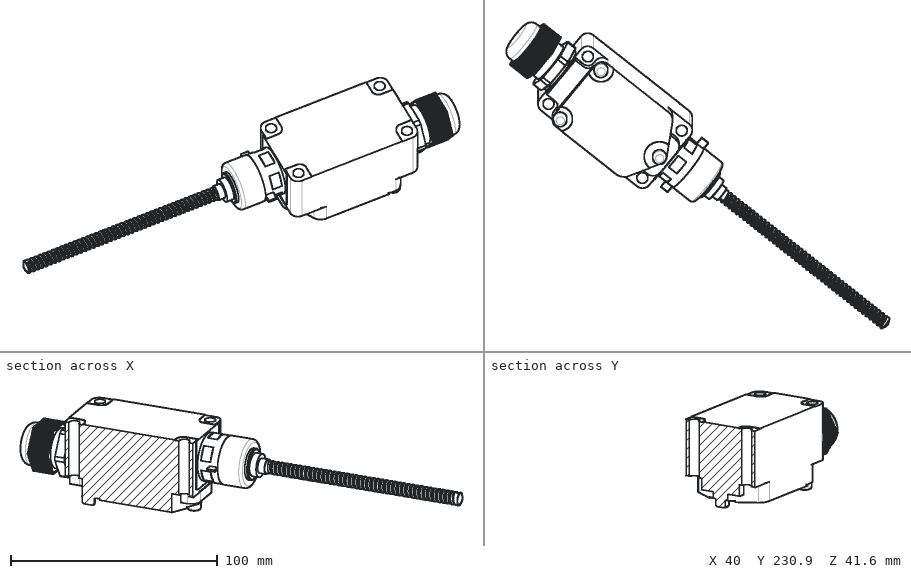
import cadquery as cq
import math


HOUSING_WIDTH = 40.0
HOUSING_LENGTH = 68.1
HOUSING_TOP = 13.0
HOUSING_LEDGE = -15.7
HOUSING_BOTTOM = -25.5
HOUSING_CORNER_RADIUS = 4.2
HALF_WIDTH = HOUSING_WIDTH / 2

PLATE_SIZE = 2 * HOUSING_TOP
PLATE_THICKNESS = 0.7
PLATE_CORNER_RADIUS = 1.5

LUG_SIZE = 9.7
LUG_INNER_RADIUS = 3.5
LUG_RECESS = 0.2
MOUNT_HOLE_DIAMETER = 5.3
MOUNT_HOLE_INSET = 4.9

NOSE_Y = 2.3
NOSE_RADIUS = 3.5
NOSE_SLOPE = math.radians(30)
BASE_SHOULDER_RADIUS = 6.0
BASE_BACK_Y = 59.1
BASE_BACK_RADIUS = 4.2

TAB_WIDTH = 22.0
TAB_INSET = 0.5
TAB_BOTTOM = -21.5
FRONT_TAB_RADIUS = 4.9
BACK_TAB_FILLET = 3.5

SCREW_HEAD_DIAMETER = 6.7
SCREW_HEAD_BOTTOM = -28.6
SCREW_HEAD_ROUND = 1.5
FRONT_SEAT_DIAMETER = 14.8
BACK_SEAT_DIAMETER = 12.0
SCREW_SEAT_DEPTH = 0.7
FRONT_SCREW = (0, 6.5)
BACK_SCREW_X = 15.7
BACK_SCREW_Y = 55.7
BACK_SCREWS = [(-BACK_SCREW_X, BACK_SCREW_Y), (BACK_SCREW_X, BACK_SCREW_Y)]

HEAD_RADIUS = 12.0
HEAD_CAP_RADIUS = 12.13
HEAD_CAP_BACK_Y = -11.3
HEAD_CAP_FRONT_Y = -23.8
HEAD_CAP_ROUND = 1.5
HEAD_COLLAR_RADIUS = 7.9
HEAD_COLLAR_FRONT_Y = -25.5
HEAD_COLLAR_CHAMFER = 0.5
HEAD_SLEEVE_RADIUS = 5.8
HEAD_SLEEVE_FRONT_Y = -28.9
HEAD_TIP_RADIUS = 3.7
HEAD_TIP_FRONT_Y = -32.3

WRENCH_FLAT_COUNT = 6
WRENCH_FLAT_WIDTH = 7.5
WRENCH_FLAT_BACK_Y = -2.3
WRENCH_FLAT_FRONT_Y = -7.5
STUD_SPAN = 31.5
STUD_LENGTH = 4.2
STUD_HEIGHT = 1.2

WAND_END_Y = -135.5
SPRING_RADIUS = 3.2
SPRING_PITCH = 2.3
SPRING_GROOVE_DEPTH = 0.7
SPRING_GROOVE_WIDTH = 1.6
SPRING_GROOVE_CLEARANCE = 0.12
SPRING_END_LAND = 1.0
WAND_DOME_RADIUS = 2.8
WAND_DOME_LENGTH = 1.2

GLAND_Z = -8.5
GLAND_FLANGE_RADIUS = 11.8
GLAND_NUT_START = 1.5
GLAND_NUT_END = 6.2
GLAND_NUT_FLATS = 24.3
GLAND_NUT_CORNER_RADIUS = 13.5
GLAND_NECK_RADIUS = 10.0
GLAND_GRIP_START = 10.2
GLAND_GRIP_END = 21.0
GLAND_GRIP_FLATS = 22.6
GLAND_GRIP_TEETH = 16
GLAND_GRIP_TOOTH_DEPTH = 0.5
GLAND_CAP_RADIUS = 10.6
GLAND_CAP_ROUND = 4.0
GLAND_LENGTH = 27.3
HEX_SIDES = 6


def upright_block(x_range, y_range, z_range):
    """Box between two limits along each axis."""
    (x0, x1), (y0, y1), (z0, z1) = x_range, y_range, z_range
    return cq.Workplane("XY").box(x1 - x0, y1 - y0, z1 - z0, centered=False).translate((x0, y0, z0))


def make_upper_housing():
    """Main block with rounded corners and the square plate that carries the head."""
    block = upright_block(
        (-HALF_WIDTH, HALF_WIDTH), (0, HOUSING_LENGTH), (HOUSING_LEDGE, HOUSING_TOP)
    ).edges("|Z").fillet(HOUSING_CORNER_RADIUS)
    plate = upright_block(
        (-PLATE_SIZE / 2, PLATE_SIZE / 2),
        (-PLATE_THICKNESS, HOUSING_CORNER_RADIUS),
        (-PLATE_SIZE / 2, HOUSING_TOP),
    ).edges("|Y and <Z").fillet(PLATE_CORNER_RADIUS)
    return block.union(plate)


def make_base():
    """Lower part of the housing, with two tabs that run under the front and back walls."""
    shoulder_y = NOSE_Y + HALF_WIDTH * math.tan(NOSE_SLOPE)
    outline = [
        (0, NOSE_Y),
        (HALF_WIDTH, shoulder_y),
        (HALF_WIDTH, BASE_BACK_Y),
        (-HALF_WIDTH, BASE_BACK_Y),
        (-HALF_WIDTH, shoulder_y),
    ]
    base = cq.Workplane("XY").workplane(offset=HOUSING_BOTTOM).polyline(outline).close()
    base = base.extrude(HOUSING_LEDGE - HOUSING_BOTTOM)
    base = base.edges("|Z and <Y").fillet(NOSE_RADIUS)
    base = base.edges("|Z and >Y").fillet(BASE_BACK_RADIUS)
    shoulders = cq.selectors.BoxSelector(
        (-HOUSING_WIDTH, NOSE_Y + NOSE_RADIUS, HOUSING_BOTTOM),
        (HOUSING_WIDTH, BASE_BACK_Y / 2, HOUSING_LEDGE),
    )
    base = base.edges("|Z").edges(shoulders).fillet(BASE_SHOULDER_RADIUS)

    tab_x = (-TAB_WIDTH / 2, TAB_WIDTH / 2)
    tab_z = (TAB_BOTTOM, HOUSING_LEDGE)
    front_tab = upright_block(tab_x, (TAB_INSET, BASE_BACK_Y / 2), tab_z)
    front_tab = front_tab.edges("|Z and <Y").fillet(FRONT_TAB_RADIUS)
    back_tab = upright_block(tab_x, (BASE_BACK_Y, HOUSING_LENGTH - TAB_INSET), tab_z)
    base = base.union(front_tab).union(back_tab)
    for side in (-1, 1):
        base = base.union(make_tab_fillet(side))
    return base


def make_tab_fillet(side):
    """Concave corner between one side of the back tab and the back face of the base."""
    inner_x = side * TAB_WIDTH / 2
    outer_x = inner_x + side * BACK_TAB_FILLET
    arc_inset = BACK_TAB_FILLET * (1 - math.sqrt(0.5))
    return (
        cq.Workplane("XY").workplane(offset=TAB_BOTTOM)
        .moveTo(inner_x, BASE_BACK_Y)
        .lineTo(outer_x, BASE_BACK_Y)
        .threePointArc(
            (inner_x + side * arc_inset, BASE_BACK_Y + arc_inset),
            (inner_x, BASE_BACK_Y + BACK_TAB_FILLET),
        )
        .close()
        .extrude(HOUSING_LEDGE - TAB_BOTTOM)
    )


def make_screw_heads():
    """Three cover screw heads, formed with the housing."""
    heads = (
        cq.Workplane("XY").workplane(offset=SCREW_HEAD_BOTTOM)
        .pushPoints([FRONT_SCREW, *BACK_SCREWS]).circle(SCREW_HEAD_DIAMETER / 2)
        .extrude(HOUSING_BOTTOM + SCREW_SEAT_DEPTH - SCREW_HEAD_BOTTOM)
    )
    return heads.faces("<Z").edges().fillet(SCREW_HEAD_ROUND)


def make_screw_seats(positions, diameter):
    """Shallow round recesses in the underside of the base."""
    underside = cq.Workplane("XY").workplane(offset=HOUSING_BOTTOM)
    return underside.pushPoints(positions).circle(diameter / 2).extrude(SCREW_SEAT_DEPTH)


def make_housing():
    """Complete housing with screw heads, corner lugs and mounting holes."""
    housing = make_upper_housing().union(make_base())
    housing = housing.cut(make_screw_seats([FRONT_SCREW], FRONT_SEAT_DIAMETER))
    housing = housing.cut(make_screw_seats(BACK_SCREWS, BACK_SEAT_DIAMETER))
    housing = housing.union(make_screw_heads())

    lug_centre_x = HALF_WIDTH - LUG_SIZE / 2
    lug_centre_ys = (LUG_SIZE / 2, HOUSING_LENGTH - LUG_SIZE / 2)
    hole_x = HALF_WIDTH - MOUNT_HOLE_INSET
    hole_ys = (MOUNT_HOLE_INSET, HOUSING_LENGTH - MOUNT_HOLE_INSET)
    for side in (-1, 1):
        for lug_y, hole_y, inner in zip(lug_centre_ys, hole_ys, (">Y", "<Y")):
            recess = (
                cq.Workplane("XY").workplane(offset=HOUSING_TOP - LUG_RECESS)
                .center(side * lug_centre_x, lug_y).rect(LUG_SIZE, LUG_SIZE).extrude(LUG_RECESS)
                .edges("|Z").edges("<X" if side > 0 else ">X").edges(inner).fillet(LUG_INNER_RADIUS)
            )
            hole = (
                cq.Workplane("XY").workplane(offset=HOUSING_LEDGE)
                .center(side * hole_x, hole_y).circle(MOUNT_HOLE_DIAMETER / 2)
                .extrude(HOUSING_TOP - HOUSING_LEDGE)
            )
            housing = housing.cut(recess).cut(hole)
    return housing


def make_head():
    """Round actuator head with stepped front, six wrench flats and two side studs."""
    back_y = -PLATE_THICKNESS
    round_inset = HEAD_CAP_ROUND * (1 - math.sqrt(0.5))
    head = (
        cq.Workplane("YZ")
        .moveTo(back_y, 0)
        .lineTo(back_y, HEAD_RADIUS)
        .lineTo(HEAD_CAP_BACK_Y, HEAD_RADIUS)
        .lineTo(HEAD_CAP_BACK_Y, HEAD_CAP_RADIUS)
        .lineTo(HEAD_CAP_FRONT_Y + HEAD_CAP_ROUND, HEAD_CAP_RADIUS)
        .threePointArc(
            (HEAD_CAP_FRONT_Y + round_inset, HEAD_CAP_RADIUS - round_inset),
            (HEAD_CAP_FRONT_Y, HEAD_CAP_RADIUS - HEAD_CAP_ROUND),
        )
        .lineTo(HEAD_CAP_FRONT_Y, HEAD_COLLAR_RADIUS)
        .lineTo(HEAD_COLLAR_FRONT_Y + HEAD_COLLAR_CHAMFER, HEAD_COLLAR_RADIUS)
        .lineTo(HEAD_COLLAR_FRONT_Y, HEAD_COLLAR_RADIUS - HEAD_COLLAR_CHAMFER)
        .lineTo(HEAD_COLLAR_FRONT_Y, HEAD_SLEEVE_RADIUS)
        .lineTo(HEAD_SLEEVE_FRONT_Y, HEAD_SLEEVE_RADIUS)
        .lineTo(HEAD_SLEEVE_FRONT_Y, HEAD_TIP_RADIUS)
        .lineTo(HEAD_TIP_FRONT_Y, HEAD_TIP_RADIUS)
        .lineTo(HEAD_TIP_FRONT_Y, 0)
        .close()
        .revolve(360, (0, 0, 0), (1, 0, 0))
    )
    flat_distance = math.sqrt(HEAD_RADIUS ** 2 - (WRENCH_FLAT_WIDTH / 2) ** 2)
    flat_cutter = upright_block(
        (-WRENCH_FLAT_WIDTH, WRENCH_FLAT_WIDTH),
        (WRENCH_FLAT_FRONT_Y, WRENCH_FLAT_BACK_Y),
        (flat_distance, HEAD_CAP_RADIUS),
    )
    for index in range(WRENCH_FLAT_COUNT):
        angle = index * 360 / WRENCH_FLAT_COUNT
        head = head.cut(flat_cutter.rotate((0, 0, 0), (0, 1, 0), angle))

    studs = cq.Workplane("XY").box(STUD_SPAN, STUD_LENGTH, STUD_HEIGHT)
    return head.union(studs.translate((0, HEAD_CAP_BACK_Y + STUD_LENGTH / 2, 0)))


def make_wand():
    """Spring wand: a domed rod whose surface is wound with one helical V groove."""
    shoulder_y = WAND_END_Y + WAND_DOME_LENGTH
    dome_sphere_radius = (WAND_DOME_RADIUS ** 2 + WAND_DOME_LENGTH ** 2) / (2 * WAND_DOME_LENGTH)
    dome_mid_radius = WAND_DOME_RADIUS / 2
    dome_mid_depth = dome_sphere_radius - math.sqrt(dome_sphere_radius ** 2 - dome_mid_radius ** 2)
    rod = (
        cq.Workplane("YZ")
        .moveTo(HEAD_TIP_FRONT_Y, 0)
        .lineTo(HEAD_TIP_FRONT_Y, SPRING_RADIUS)
        .lineTo(shoulder_y, SPRING_RADIUS)
        .lineTo(shoulder_y, WAND_DOME_RADIUS)
        .threePointArc((WAND_END_Y + dome_mid_depth, dome_mid_radius), (WAND_END_Y, 0))
        .close()
        .revolve(360, (0, 0, 0), (1, 0, 0))
    )

    groove_start_y = shoulder_y + SPRING_END_LAND
    groove_length = HEAD_TIP_FRONT_Y - SPRING_END_LAND - groove_start_y
    helix = cq.Wire.makeHelix(
        SPRING_PITCH, groove_length, SPRING_RADIUS, cq.Vector(0, groove_start_y, 0), cq.Vector(0, 1, 0)
    )
    start = helix.startPoint()
    outward = cq.Vector(start.x, 0, start.z).normalized()
    section_plane = cq.Plane(
        origin=start.toTuple(), xDir=outward.toTuple(), normal=helix.tangentAt(0).toTuple()
    )
    overshoot = 1 + SPRING_GROOVE_CLEARANCE / SPRING_GROOVE_DEPTH
    half_mouth = overshoot * SPRING_GROOVE_WIDTH / 2
    groove = (
        cq.Workplane(section_plane)
        .moveTo(-SPRING_GROOVE_DEPTH, 0)
        .lineTo(SPRING_GROOVE_CLEARANCE, half_mouth)
        .lineTo(SPRING_GROOVE_CLEARANCE, -half_mouth)
        .close()
        .sweep(cq.Workplane(helix), isFrenet=True)
    )
    return rod.cut(groove)


def hex_corners(across_flats):
    """Corners of a hexagon with flats at top and bottom; the first corner is repeated at the end."""
    radius = across_flats / math.sqrt(3)
    turns = [2 * math.pi * index / HEX_SIDES for index in range(HEX_SIDES + 1)]
    return [(radius * math.cos(turn), radius * math.sin(turn)) for turn in turns]


def serrated_hex(across_flats):
    """Hexagon outline with V-shaped serrations cut along every side."""
    valley_scale = 1 - 2 * GLAND_GRIP_TOOTH_DEPTH / across_flats
    corners = hex_corners(across_flats)
    points = []
    for (x0, z0), (x1, z1) in zip(corners, corners[1:]):
        for step in range(2 * GLAND_GRIP_TEETH):
            along = step / (2 * GLAND_GRIP_TEETH)
            scale = valley_scale if step % 2 else 1
            points.append((scale * (x0 + along * (x1 - x0)), scale * (z0 + along * (z1 - z0))))
    return points


def gland_section(distance):
    """Plane across the gland axis at a distance behind the housing."""
    origin = (0, HOUSING_LENGTH + distance, GLAND_Z)
    return cq.Workplane(cq.Plane(origin=origin, xDir=(1, 0, 0), normal=(0, 1, 0)))


def make_gland():
    """Cable gland: flange, hex nut, neck, serrated hex grip and rounded end cap."""
    flange = gland_section(0).circle(GLAND_FLANGE_RADIUS).extrude(GLAND_NUT_START)

    nut_length = GLAND_NUT_END - GLAND_NUT_START
    nut = gland_section(GLAND_NUT_START).polyline(hex_corners(GLAND_NUT_FLATS)[:-1]).close()
    nut = nut.extrude(nut_length)
    nut = nut.intersect(
        gland_section(GLAND_NUT_START).circle(GLAND_NUT_CORNER_RADIUS).extrude(nut_length)
    )

    neck = gland_section(GLAND_NUT_END).circle(GLAND_NECK_RADIUS)
    neck = neck.extrude(GLAND_GRIP_START - GLAND_NUT_END)

    grip = gland_section(GLAND_GRIP_START).polyline(serrated_hex(GLAND_GRIP_FLATS)).close()
    grip = grip.extrude(GLAND_GRIP_END - GLAND_GRIP_START)

    cap = gland_section(GLAND_GRIP_END).circle(GLAND_CAP_RADIUS)
    cap = cap.extrude(GLAND_LENGTH - GLAND_GRIP_END).faces(">Y").edges().fillet(GLAND_CAP_ROUND)
    return flange.union(nut).union(neck).union(grip).union(cap)


housing = make_housing()
head = make_head()
wand = make_wand()
gland = make_gland()

result = cq.Compound.makeCompound([housing.val(), head.val(), wand.val(), gland.val()])